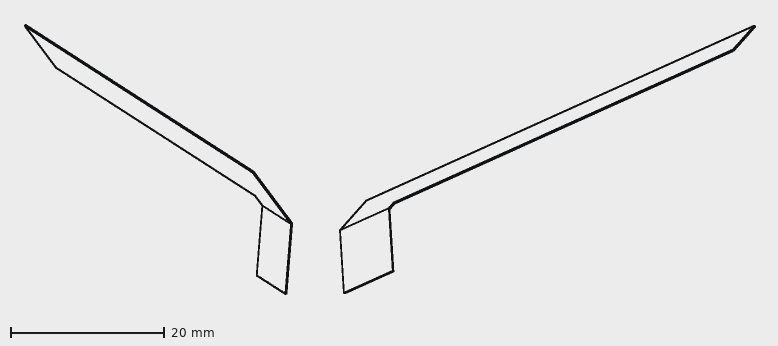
import cadquery as cq
import math

strip_length = 63.7
strip_width = 8.0
tab_width = 8.0
wing_length = 9.95
leg_length = 9.7
thickness = 0.2
wing_tilt = math.radians(35)
leg_tilt = math.radians(5)

wing_direction = cq.Vector(-math.sin(wing_tilt), math.cos(wing_tilt))
wing_inward = cq.Vector(-math.cos(wing_tilt), -math.sin(wing_tilt))
leg_direction = cq.Vector(-math.sin(leg_tilt), -math.cos(leg_tilt))
leg_inward = cq.Vector(-math.cos(leg_tilt), math.sin(leg_tilt))


def extrude_section(points, x_start, length):
    """Extrude a closed YZ section along +X."""
    outline = [(point.x, point.y) for point in points]
    return (
        cq.Workplane("YZ")
        .workplane(offset=x_start)
        .polyline(outline)
        .close()
        .extrude(length)
    )


def make_strip():
    """Long flat strip along the top edge."""
    top = wing_direction * wing_length
    bottom = wing_direction * (wing_length - strip_width)
    inward = wing_inward * thickness
    return extrude_section([top, bottom, bottom + inward, top + inward], 0, strip_length)


def make_tab():
    """Bent tab at the +X end, with a sharp mitred bend."""
    top = wing_direction * wing_length
    bend = cq.Vector(0, 0)
    bottom = leg_direction * leg_length
    bend_sine = math.sin(wing_tilt + leg_tilt)
    inner_bend = (wing_direction + leg_direction) * (thickness / bend_sine)
    section = [
        top,
        bend,
        bottom,
        bottom + leg_inward * thickness,
        inner_bend,
        top + wing_inward * thickness,
    ]
    return extrude_section(section, strip_length - tab_width, tab_width)


result = make_strip().union(make_tab()).clean()